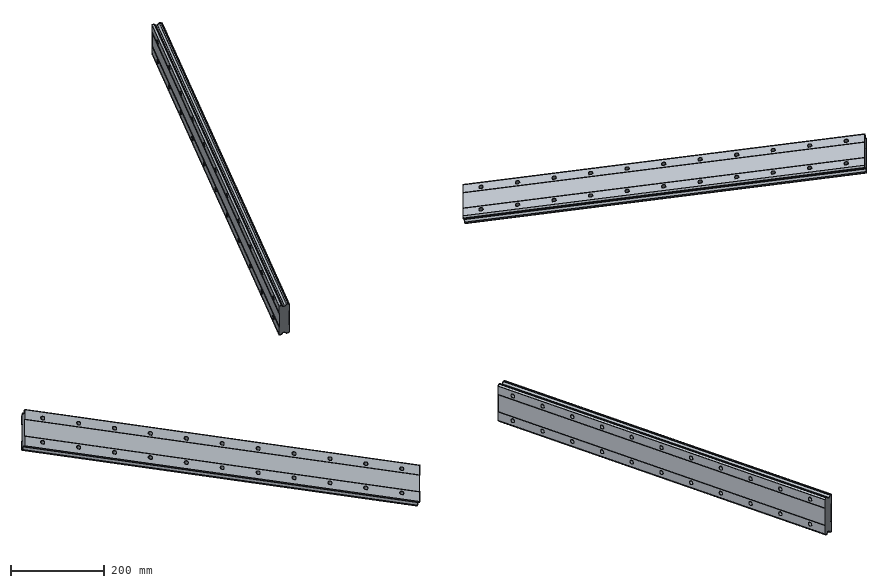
import cadquery as cq

length = 880.0
thickness = 24.0
height = 90.0

lip_width = 5.0
lip_slope_run = 3.5
groove_depth = 4.0
groove_floor_width = 3.5
tongue_slope_run = 4.0
tongue_chamfer = 3.5

relief_width = 41.0
relief_depth = 1.0

hole_count = 11
hole_pitch = length / hole_count
hole_row_spacing = 60.0
hole_diameter = 9.0

half_height = height / 2
front_y = -thickness / 2
back_y = thickness / 2


def make_bar():
    """Extrude the bar, whose profile is mirrored about its mid-height."""
    floor_z = half_height - groove_depth
    lip_end = front_y + lip_width
    floor_start = lip_end + lip_slope_run
    floor_end = floor_start + groove_floor_width
    upper_edge = [
        (front_y, half_height),
        (lip_end, half_height),
        (floor_start, floor_z),
        (floor_end, floor_z),
        (floor_end + tongue_slope_run, half_height),
        (back_y - tongue_chamfer, half_height),
        (back_y, half_height - tongue_chamfer),
    ]
    lower_edge = [(y, -z) for y, z in reversed(upper_edge)]
    profile = cq.Workplane("YZ").polyline(upper_edge + lower_edge).close()
    return profile.extrude(length / 2, both=True)


def make_relief(face_y):
    """Cutter for the full-length relief in one broad face, centred on that face."""
    cutter = cq.Workplane("XY").box(length, 2 * relief_depth, relief_width)
    return cutter.translate((0, face_y, 0))


def make_holes():
    """Through holes, one row above and one row below mid-height."""
    return (
        cq.Workplane("XZ")
        .rarray(hole_pitch, hole_row_spacing, hole_count, 2)
        .circle(hole_diameter / 2)
        .extrude(thickness, both=True)
    )


result = make_bar()
for face_y in (front_y, back_y):
    result = result.cut(make_relief(face_y))
result = result.cut(make_holes())